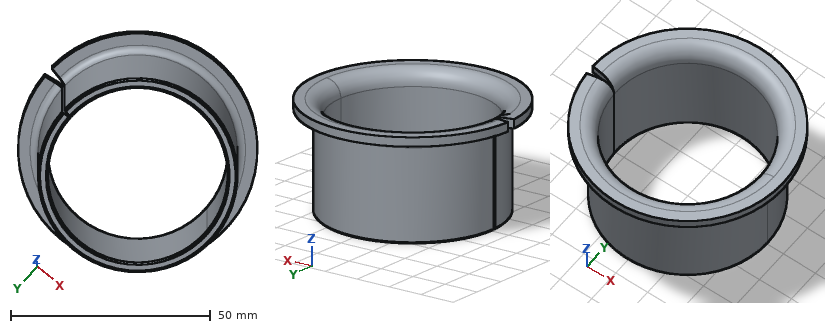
import math

import cadquery as cq

height = 30.0
wall = 2.5
bore_radius = 22.5
flange_radius = 30.0
outer_bend_radius = 2.0
rim_chamfer = 0.5

sleeve_radius = bore_radius + wall
inner_bend_radius = outer_bend_radius + wall
bend_center_radius = sleeve_radius + outer_bend_radius
bend_center_z = height - inner_bend_radius
flange_bottom_z = height - wall

slit_direction_angle = 182.0
slit_included_angle = 20.0
slit_apex_inset = 0.02
slit_clearance = 5.0


def bend_midpoint(radius):
    """Halfway point, in (r, z), of the quarter bend of the given radius."""
    offset = radius * math.sqrt(0.5)
    return (bend_center_radius - offset, bend_center_z + offset)


def make_bush():
    """Revolve the wall section, with concentric inner and outer bends, about Z."""
    section = (
        cq.Workplane("XZ")
        .moveTo(bore_radius, rim_chamfer)
        .lineTo(bore_radius + rim_chamfer, 0)
        .lineTo(sleeve_radius - rim_chamfer, 0)
        .lineTo(sleeve_radius, rim_chamfer)
        .lineTo(sleeve_radius, bend_center_z)
        .threePointArc(bend_midpoint(outer_bend_radius), (bend_center_radius, flange_bottom_z))
        .lineTo(flange_radius, flange_bottom_z)
        .lineTo(flange_radius, height)
        .lineTo(bend_center_radius, height)
        .threePointArc(bend_midpoint(inner_bend_radius), (bore_radius, bend_center_z))
        .close()
    )
    return section.revolve(360, (0, 0), (0, 1))


def make_slit():
    """Full-height wedge with its apex just inside the bore, widening outward."""
    apex_radius = bore_radius - slit_apex_inset
    mouth_radius = flange_radius + slit_clearance
    mouth_half_width = (mouth_radius - apex_radius) * math.tan(math.radians(slit_included_angle / 2))
    wedge = (
        cq.Workplane("XY")
        .moveTo(apex_radius, 0)
        .lineTo(mouth_radius, mouth_half_width)
        .lineTo(mouth_radius, -mouth_half_width)
        .close()
        .extrude(height)
    )
    return wedge.rotate((0, 0, 0), (0, 0, 1), slit_direction_angle)


result = make_bush().cut(make_slit())